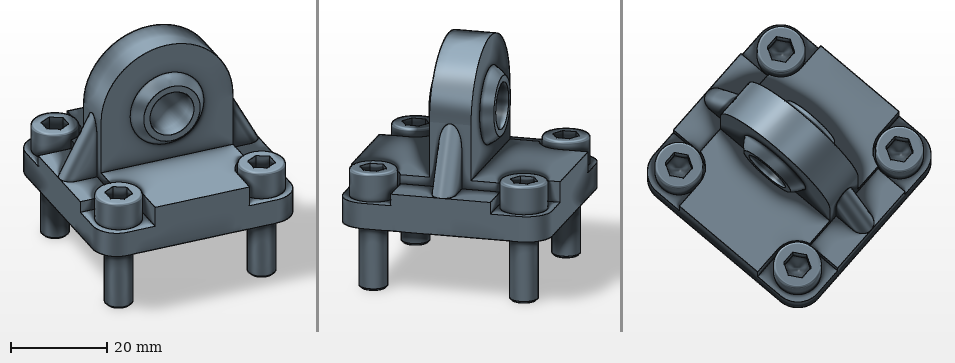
import cadquery as cq
import math

TOTAL_HEIGHT = 51.5
BASE_WIDTH = 45.0
BASE_CORNER_RADIUS = 5.5
BASE_HEIGHT = 10.0
SIDE_STEP_HEIGHT = 8.05
POCKET_FLOOR = 5.5

LUG_TOP = 37.0
LUG_DIAMETER = 30.0
LUG_THICKNESS = 8.95
LUG_AXIS_HEIGHT = LUG_TOP - LUG_DIAMETER / 2

BALL_DIAMETER = 19.0
BALL_WIDTH = 14.0
BORE_DIAMETER = 10.0

RIB_WIDTH = 5.0

SCREW_SPACING = 32.5
SHANK_DIAMETER = 6.0
SHANK_CHAMFER = 0.5
SHANK_TIP = LUG_TOP - TOTAL_HEIGHT
HEAD_DIAMETER = 10.0
HEAD_HEIGHT = 6.0
HEAD_EDGE_RADIUS = 0.6
HEAD_POCKET_DIAMETER = 11.0
HEX_ACROSS_FLATS = 5.0
HEX_DEPTH = 3.2
HEX_CONE_ANGLE = 120.0

QUADRANTS = [(1, 1), (-1, 1), (-1, -1), (1, -1)]


def block(x_size, y_size, bottom, top):
    """Box centred on the Z axis between two heights."""
    return cq.Workplane("XY", origin=(0, 0, bottom)).rect(x_size, y_size).extrude(top - bottom)


def cylinder_along_x(diameter, length):
    """Cylinder on the bearing axis, centred on the lug."""
    start = (-length / 2, 0, LUG_AXIS_HEIGHT)
    return cq.Workplane("YZ", origin=start).circle(diameter / 2).extrude(length)


def make_corner_pocket(x_sign, y_sign):
    """Clearance around a screw head, open to the plate corner and rounded on its inner corner."""
    centre = SCREW_SPACING / 2
    inner = centre - HEAD_POCKET_DIAMETER / 2
    size = BASE_WIDTH / 2 - inner
    middle = inner + size / 2
    corner = (
        cq.Workplane("XY", origin=(x_sign * middle, y_sign * middle, POCKET_FLOOR))
        .rect(size, size)
        .extrude(BASE_HEIGHT - POCKET_FLOOR)
    )
    x_side = "<X" if x_sign > 0 else ">X"
    y_side = "<Y" if y_sign > 0 else ">Y"
    return corner.edges("|Z").edges(x_side).edges(y_side).fillet(HEAD_POCKET_DIAMETER / 2)


def make_base():
    """Square plate with low steps along both Y edges and a screw pocket in each corner."""
    lower = block(BASE_WIDTH, BASE_WIDTH, 0, SIDE_STEP_HEIGHT)
    upper = block(BASE_WIDTH, LUG_DIAMETER, SIDE_STEP_HEIGHT, BASE_HEIGHT)
    outline = block(BASE_WIDTH, BASE_WIDTH, 0, BASE_HEIGHT).edges("|Z").fillet(BASE_CORNER_RADIUS)
    base = lower.union(upper).intersect(outline)
    for x_sign, y_sign in QUADRANTS:
        base = base.cut(make_corner_pocket(x_sign, y_sign))
    return base


def make_lug():
    """Upright plate whose rounded top is centred on the bearing axis."""
    upright = block(LUG_THICKNESS, LUG_DIAMETER, SIDE_STEP_HEIGHT, LUG_AXIS_HEIGHT)
    return upright.union(cylinder_along_x(LUG_DIAMETER, LUG_THICKNESS))


def make_ball():
    """Sphere cut flat on both sides, turned about the bearing axis."""
    radius = BALL_DIAMETER / 2
    half_width = BALL_WIDTH / 2
    face_radius = math.sqrt(radius**2 - half_width**2)
    return (
        cq.Workplane("XZ", origin=(0, 0, LUG_AXIS_HEIGHT))
        .moveTo(-half_width, 0)
        .lineTo(-half_width, face_radius)
        .threePointArc((0, radius), (half_width, face_radius))
        .lineTo(half_width, 0)
        .close()
        .revolve(360, (0, 0), (1, 0))
    )


def make_rib():
    """Rib whose round back slopes from the lug, at axis height, to the +Y edge of the plate."""
    toe_y = BASE_WIDTH / 2
    run = toe_y - LUG_DIAMETER / 2
    rise = LUG_AXIS_HEIGHT - SIDE_STEP_HEIGHT
    slope_length = math.hypot(run, rise)
    half_width = RIB_WIDTH / 2

    section = cq.Plane(origin=(0, toe_y, SIDE_STEP_HEIGHT), xDir=(1, 0, 0), normal=(0, -run, rise))
    bar = (
        cq.Workplane(section)
        .moveTo(-half_width, -slope_length)
        .lineTo(-half_width, -half_width)
        .threePointArc((0, 0), (half_width, -half_width))
        .lineTo(half_width, -slope_length)
        .close()
        .extrude(slope_length, both=True)
    )
    limits = block(RIB_WIDTH, run, SIDE_STEP_HEIGHT, LUG_AXIS_HEIGHT)
    return bar.intersect(limits.translate((0, toe_y - run / 2, 0)))


def make_socket(head_top):
    """Hexagonal socket, vertices along X, ending in a cone that meets its corner edges at HEX_DEPTH."""
    corner_radius = HEX_ACROSS_FLATS / 2 / math.cos(math.pi / 6)
    cone_top = head_top - HEX_DEPTH
    cone_tip = cone_top - corner_radius / math.tan(math.radians(HEX_CONE_ANGLE / 2))
    hexagon = (
        cq.Workplane("XY", origin=(0, 0, cone_tip))
        .polygon(6, 2 * corner_radius)
        .extrude(head_top - cone_tip)
    )
    pointed_bar = (
        cq.Workplane("XZ")
        .moveTo(0, cone_tip)
        .lineTo(corner_radius, cone_top)
        .lineTo(corner_radius, head_top)
        .lineTo(0, head_top)
        .close()
        .revolve(360, (0, 0), (0, 1))
    )
    return hexagon.intersect(pointed_bar)


def make_screw():
    """Socket-head screw on the Z axis, its head resting on the pocket floor."""
    shank = (
        cq.Workplane("XY", origin=(0, 0, SHANK_TIP))
        .circle(SHANK_DIAMETER / 2)
        .extrude(POCKET_FLOOR - SHANK_TIP)
        .faces("<Z")
        .chamfer(SHANK_CHAMFER)
    )
    head = (
        cq.Workplane("XY", origin=(0, 0, POCKET_FLOOR))
        .circle(HEAD_DIAMETER / 2)
        .extrude(HEAD_HEIGHT)
        .faces(">Z")
        .edges()
        .fillet(HEAD_EDGE_RADIUS)
    )
    return shank.union(head).cut(make_socket(POCKET_FLOOR + HEAD_HEIGHT))


result = make_base().union(make_lug()).union(make_ball())

rib = make_rib()
result = result.union(rib).union(rib.mirror("XZ"))

result = result.cut(cylinder_along_x(BORE_DIAMETER, BALL_WIDTH))

screw = make_screw()
screw_offset = SCREW_SPACING / 2
for x_sign, y_sign in QUADRANTS:
    result = result.union(screw.translate((x_sign * screw_offset, y_sign * screw_offset, 0)))